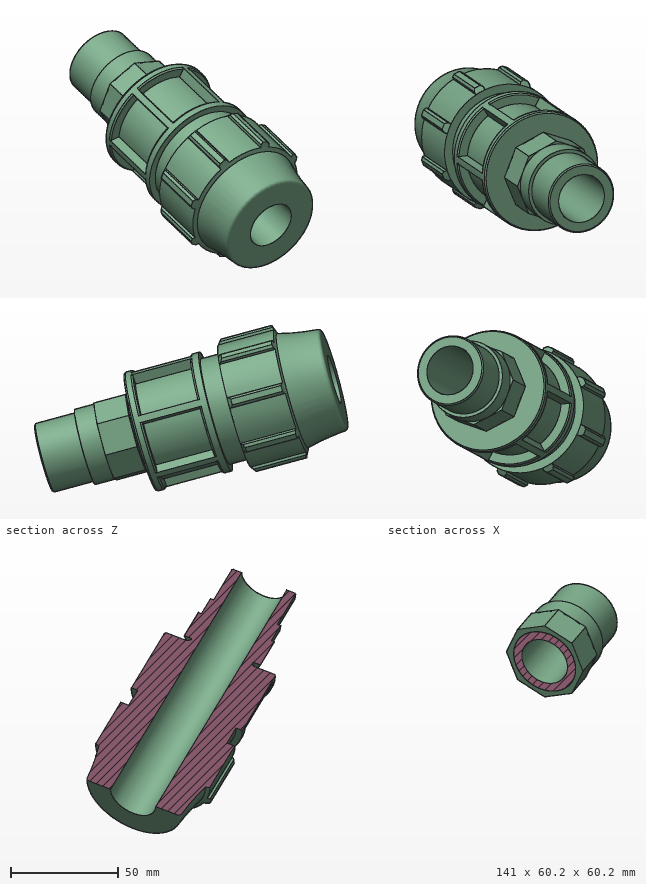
import cadquery as cq
import math

total_length = 141.0
bore_diameter = 23.3

spigot_diameter = 33.3
spigot_chamfer = 0.63
collar_start = 20.0
collar_diameter = 36.5
octagon_start = 29.8
octagon_sides = 8
octagon_flats = collar_diameter
neck_start = 45.1
neck_diameter = 32.0
neck_flare = 1.3

body_start = 47.0
body_end = 83.3
body_diameter = 57.7
rim_bevel_length = 0.8
rim_bevel_depth = 0.5
window_start = 51.3
window_end = 79.2
window_floor_diameter = 48.0
rib_count = 6
rib_width = 3.4
sleeve_diameter = 51.2

nut_start = 92.8
nut_end = 119.8
nut_diameter = 59.4
shoulder_length = 0.8
tail_large_diameter = 55.4
tail_small_diameter = 48.9
tail_concavity = 0.5
tail_fillet = 1.5
ridge_count = 8
ridge_width = 5.1
ridge_chamfer = 1.1
ridge_top_radius = 32.0
ridge_front_slope = 1.8
ridge_back_slope = 0.8


def cylinder(start, end, diameter):
    """Solid cylinder on the X axis between two stations."""
    return cq.Workplane("YZ", origin=(start, 0, 0)).circle(diameter / 2).extrude(end - start)


def revolve_about_x(profile):
    """Revolve a closed XY profile about the X axis."""
    return profile.close().revolve(360, (0, 0, 0), (1, 0, 0))


def make_inlet():
    """Spigot, collar, octagon and flared neck."""
    spigot = cylinder(0, collar_start, spigot_diameter).faces("<X").chamfer(spigot_chamfer)
    collar = cylinder(collar_start, octagon_start, collar_diameter)
    octagon_corners = octagon_flats / math.cos(math.pi / octagon_sides)
    octagon = (
        cq.Workplane("YZ", origin=(octagon_start, 0, 0))
        .polygon(octagon_sides, octagon_corners)
        .extrude(neck_start - octagon_start)
    )
    neck_radius = neck_diameter / 2
    neck = revolve_about_x(
        cq.Workplane("XY")
        .moveTo(neck_start, 0)
        .lineTo(neck_start, neck_radius)
        .lineTo(body_start - neck_flare, neck_radius)
        .lineTo(body_start, neck_radius + neck_flare)
        .lineTo(body_start, 0)
    )
    return spigot.union(collar).union(octagon).union(neck)


def make_body():
    """Two flanges joined by ribs, over a smaller core."""
    rim = body_diameter / 2
    low_rim = rim - rim_bevel_depth
    floor = window_floor_diameter / 2
    barrel = revolve_about_x(
        cq.Workplane("XY")
        .moveTo(body_start, 0)
        .lineTo(body_start, low_rim)
        .lineTo(body_start + rim_bevel_length, rim)
        .lineTo(window_start - rim_bevel_length, rim)
        .lineTo(window_start, low_rim)
        .lineTo(window_start, floor)
        .lineTo(window_end, floor)
        .lineTo(window_end, low_rim)
        .lineTo(window_end + rim_bevel_length, rim)
        .lineTo(body_end, rim)
        .lineTo(body_end, 0)
    )
    rib_start = window_start - rim_bevel_length
    rib_end = window_end + rim_bevel_length
    ribs = cq.Workplane("XY")
    for index in range(rib_count):
        rib = cq.Workplane("XY").box(
            rib_end - rib_start, body_diameter, rib_width, centered=(False, False, True)
        )
        rib = rib.translate((rib_start, 0, 0))
        ribs = ribs.union(rib.rotate((0, 0, 0), (1, 0, 0), index * 360 / rib_count))
    ribs = ribs.intersect(cylinder(rib_start, rib_end, body_diameter))
    return barrel.union(ribs)


def make_nut_core():
    """Nut cylinder, shoulder and slightly concave tail with a rounded end."""
    tail_start = nut_end + shoulder_length
    large = tail_large_diameter / 2
    small = tail_small_diameter / 2
    tail_middle = ((tail_start + total_length) / 2, (large + small) / 2 - tail_concavity)
    core = revolve_about_x(
        cq.Workplane("XY")
        .moveTo(nut_start, 0)
        .lineTo(nut_start, nut_diameter / 2)
        .lineTo(nut_end, nut_diameter / 2)
        .lineTo(tail_start, large)
        .threePointArc(tail_middle, (total_length, small))
        .lineTo(total_length, 0)
    )
    return core.faces(">X").edges().fillet(tail_fillet)


def make_ridges():
    """Ring of chamfered grip bars whose ends are trimmed to cones rising from the nut edges."""
    half_width = ridge_width / 2
    shoulder_radius = ridge_top_radius - ridge_chamfer
    half_top = half_width - ridge_chamfer
    bar = (
        cq.Workplane("YZ", origin=(nut_start, 0, 0))
        .moveTo(-half_width, 0)
        .lineTo(-half_width, shoulder_radius)
        .lineTo(-half_top, ridge_top_radius)
        .lineTo(half_top, ridge_top_radius)
        .lineTo(half_width, shoulder_radius)
        .lineTo(half_width, 0)
        .close()
        .extrude(nut_end - nut_start)
    )
    trim_radius = math.hypot(ridge_top_radius, half_top)
    trim = revolve_about_x(
        cq.Workplane("XY")
        .moveTo(nut_start, 0)
        .lineTo(nut_start, nut_diameter / 2)
        .lineTo(nut_start + ridge_front_slope, trim_radius)
        .lineTo(nut_end - ridge_back_slope, trim_radius)
        .lineTo(nut_end, nut_diameter / 2)
        .lineTo(nut_end, 0)
    )
    pitch = 360 / ridge_count
    ridges = cq.Workplane("XY")
    for index in range(ridge_count):
        ridges = ridges.union(bar.rotate((0, 0, 0), (1, 0, 0), (index + 0.5) * pitch))
    return ridges.intersect(trim)


sleeve = cylinder(body_end, nut_start, sleeve_diameter)
bore = cylinder(0, total_length, bore_diameter)
result = make_inlet().union(make_body()).union(sleeve).union(make_nut_core()).union(make_ridges()).cut(bore)